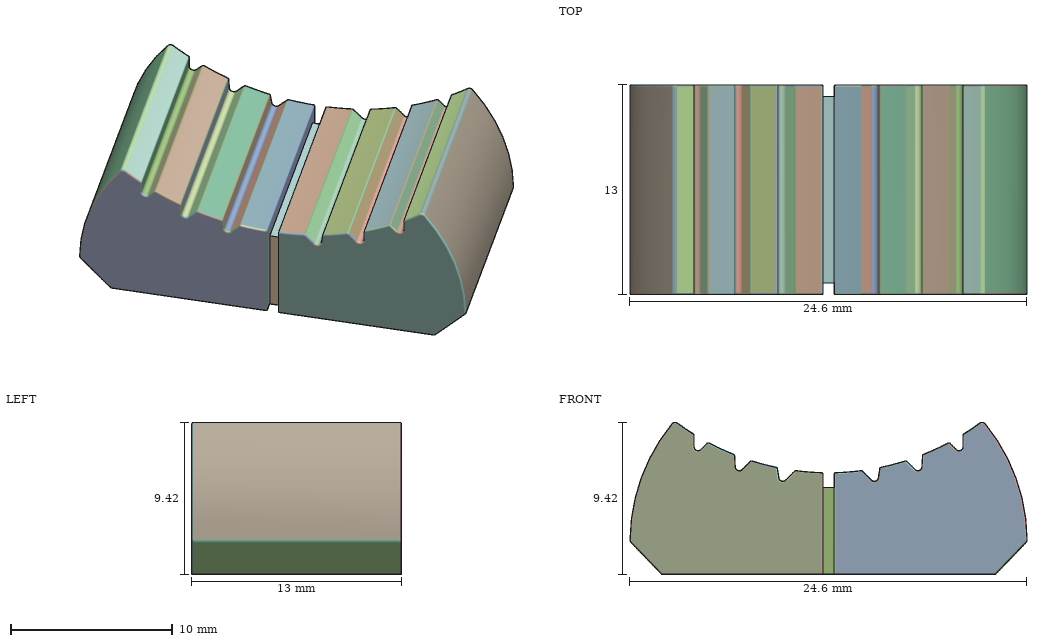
import cadquery as cq
import math

length = 24.6
depth = 13.0
base_half_length = 10.34
corner_height = 2.05

rest_radius = 15.8
rest_bottom = 6.3
rest_center_z = rest_bottom + rest_radius
crest_half_length = 9.55

grooves = (
    (11.6, 4.1, 9.0),
    (21.6, 3.9, 3.0),
    (31.8, 3.6, 0.0),
)
groove_ramp_angle = 45.0
groove_root_radius = 0.25
groove_clearance = 0.98

slot_width = 0.7
web_height = 5.4
web_depth = 11.57

edge_radius = 0.1
corner_radius = 0.25
bottom_trim = 0.05

web_overlap = 0.25
pick_margin = 0.02


def rest_point(angle):
    """Point on the finger rest at an angle from straight down."""
    a = math.radians(angle)
    return rest_radius * math.sin(a), rest_center_z - rest_radius * math.cos(a)


def extrude_across(sketch):
    """Extrude an XZ outline symmetrically along Y."""
    return sketch.extrude(depth / 2, both=True)


def half_block():
    """Right half of the body with its trim stock, before the grooves are cut."""
    half_length = length / 2
    crest_z = rest_center_z - math.sqrt(rest_radius**2 - crest_half_length**2)

    side_run = half_length - crest_half_length
    side_rise = crest_z - corner_height
    side_radius = (side_run**2 + side_rise**2) / (2 * side_run)
    side_center = (half_length - side_radius, corner_height)
    crest_angle = math.atan2(crest_z - side_center[1], crest_half_length - side_center[0])
    side_mid = (
        side_center[0] + side_radius * math.cos(crest_angle / 2),
        side_center[1] + side_radius * math.sin(crest_angle / 2),
    )
    trim_run = bottom_trim * (half_length - base_half_length) / corner_height

    slot_x = slot_width / 2
    slot_angle = math.degrees(math.asin(slot_x / rest_radius))
    rest_end_angle = math.degrees(math.asin(crest_half_length / rest_radius))

    outline = (
        cq.Workplane("XZ")
        .moveTo(slot_x, -bottom_trim)
        .lineTo(base_half_length - trim_run, -bottom_trim)
        .lineTo(half_length, corner_height)
        .threePointArc(side_mid, (crest_half_length, crest_z))
        .threePointArc(rest_point((slot_angle + rest_end_angle) / 2), rest_point(slot_angle))
        .close()
    )
    return extrude_across(outline)


def groove_cutter(lip_angle, width_angle, wall_lean):
    """V cutter with a steep outer wall, a ramp on the inner side and a round root."""
    outer_x, outer_z = rest_point(lip_angle)
    inner_x, inner_z = rest_point(lip_angle - width_angle)
    wall_run = math.tan(math.radians(wall_lean))
    ramp_run = 1 / math.tan(math.radians(groove_ramp_angle))

    run_sum = outer_z * wall_run + inner_z * ramp_run
    root_z = (run_sum - (outer_x - inner_x)) / (wall_run + ramp_run)
    root_x = outer_x - (outer_z - root_z) * wall_run
    top_z = outer_z + groove_clearance

    outline = (
        cq.Workplane("XZ")
        .moveTo(root_x, root_z)
        .lineTo(outer_x, outer_z)
        .lineTo(outer_x, top_z)
        .lineTo(inner_x, top_z)
        .lineTo(inner_x, inner_z)
        .close()
    )
    return extrude_across(outline).edges("<Z").fillet(groove_root_radius)


def edges_along_depth(x):
    """Select the edges along Y that lie above the underside at a given X."""
    low = (x - pick_margin, -pick_margin, 0)
    high = (x + pick_margin, pick_margin, length)
    return cq.selectors.BoxSelector(low, high)


half = half_block()
for lip_angle, width_angle, wall_lean in grooves:
    half = half.cut(groove_cutter(lip_angle, width_angle, wall_lean))

for corner_x in (crest_half_length, length / 2):
    half = half.edges(edges_along_depth(corner_x)).fillet(corner_radius)
half = half.edges().fillet(edge_radius)
trim_block = cq.Workplane("XY").box(2 * length, 2 * depth, bottom_trim, centered=(True, True, False))
half = half.cut(trim_block.translate((0, 0, -bottom_trim)))

web = cq.Workplane("XY").box(
    slot_width + 2 * web_overlap, web_depth, web_height, centered=(True, True, False)
)

result = half.union(half.mirror("YZ")).union(web)